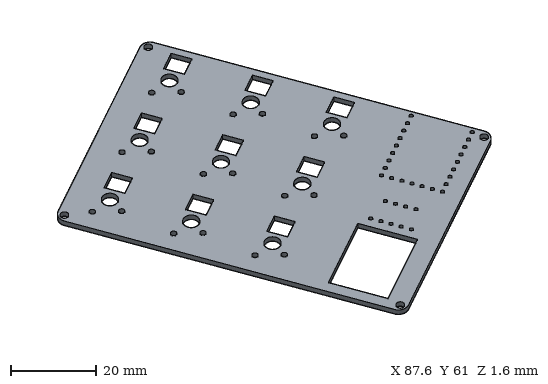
import cadquery as cq

LENGTH = 87.6
WIDTH = 61.0
THICKNESS = 1.6
CORNER_RADIUS = 2.5

MOUNT_DIAMETER = 2.0
MOUNT_INSET = 1.8

KEY_COUNT = 3
KEY_PITCH = 20.3
MIDDLE_KEY_X = -13.3
MIDDLE_KEY_Y = 0.0

STEM_DIAMETER = 4.0
LED_SIDE = 5.2
LED_OFFSET_Y = 5.7
KEY_PIN_DIAMETER = 1.5
KEY_PIN_OFFSETS = [(3.85, -2.5), (-2.5, -5.1)]

PIN_DIAMETER = 1.0
PIN_PITCH = 2.5
BOARD_LEFT_X = 23.6
BOARD_BOTTOM_Y = 8.85
BOARD_SIDE_PINS = 9
BOARD_BOTTOM_PINS = 7
UPPER_HEADER_START = (27.25, 1.4)
UPPER_HEADER_PINS = 4
LOWER_HEADER_START = (25.9, -5.0)
LOWER_HEADER_PINS = 5

WINDOW_LENGTH = 14.9
WINDOW_WIDTH = 20.15
WINDOW_CENTER = (31.1, -17.6)


def pin_row(start, count, step_x, step_y):
    """Centres of a straight row of pins beginning at start."""
    x, y = start
    return [(x + i * step_x, y + i * step_y) for i in range(count)]


def shifted(points, dx, dy):
    return [(x + dx, y + dy) for x, y in points]


def drill(body, points, diameter):
    """Round holes through the plate."""
    return body.faces(">Z").workplane(origin=(0, 0, 0)).pushPoints(points).hole(diameter)


def cut_rectangles(body, points, length, width):
    """Rectangular openings through the plate."""
    plane = body.faces(">Z").workplane(origin=(0, 0, 0))
    return plane.pushPoints(points).rect(length, width).cutThruAll()


def make_plate():
    plate = cq.Workplane("XY").box(LENGTH, WIDTH, THICKNESS, centered=(True, True, False))
    return plate.edges("|Z").fillet(CORNER_RADIUS)


def cut_mounting_holes(body):
    x = LENGTH / 2 - MOUNT_INSET
    y = WIDTH / 2 - MOUNT_INSET
    return drill(body, [(-x, -y), (x, -y), (x, y), (-x, y)], MOUNT_DIAMETER)


def cut_keys(body):
    steps = [(i - (KEY_COUNT - 1) / 2) * KEY_PITCH for i in range(KEY_COUNT)]
    keys = [(MIDDLE_KEY_X + dx, MIDDLE_KEY_Y + dy) for dx in steps for dy in steps]
    body = drill(body, keys, STEM_DIAMETER)
    for dx, dy in KEY_PIN_OFFSETS:
        body = drill(body, shifted(keys, dx, dy), KEY_PIN_DIAMETER)
    return cut_rectangles(body, shifted(keys, 0, LED_OFFSET_Y), LED_SIDE, LED_SIDE)


def cut_board_pins(body):
    """U-shaped pin pattern: two side columns joined by a bottom row."""
    bottom = pin_row((BOARD_LEFT_X, BOARD_BOTTOM_Y), BOARD_BOTTOM_PINS, PIN_PITCH, 0)
    columns = []
    for x, y in (bottom[0], bottom[-1]):
        columns += pin_row((x, y + PIN_PITCH), BOARD_SIDE_PINS - 1, 0, PIN_PITCH)
    return drill(body, bottom + columns, PIN_DIAMETER)


def cut_headers(body):
    upper = pin_row(UPPER_HEADER_START, UPPER_HEADER_PINS, PIN_PITCH, 0)
    lower = pin_row(LOWER_HEADER_START, LOWER_HEADER_PINS, PIN_PITCH, 0)
    return drill(body, upper + lower, PIN_DIAMETER)


result = make_plate()
result = cut_mounting_holes(result)
result = cut_keys(result)
result = cut_board_pins(result)
result = cut_headers(result)
result = cut_rectangles(result, [WINDOW_CENTER], WINDOW_LENGTH, WINDOW_WIDTH)